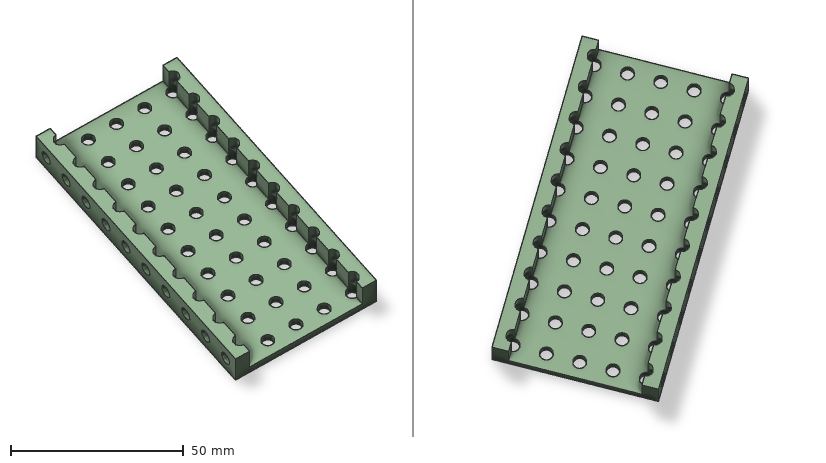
import cadquery as cq

length = 100.0
width = 50.0
height = 10.0
wall_thickness = 5.0
floor_thickness = 2.5

pitch = 10.0
hole_diameter = 4.0
columns = round(length / pitch)
rows = round(width / pitch)


def make_channel():
    """U-shaped channel running along X, open at both ends and at the top."""
    block = cq.Workplane("XY").box(length, width, height, centered=(True, True, False))
    trough = (
        cq.Workplane("XY")
        .workplane(offset=floor_thickness)
        .rect(length, width - 2 * wall_thickness)
        .extrude(height - floor_thickness)
    )
    return block.cut(trough)


def make_vertical_holes():
    """Grid of holes along Z; the outer rows also groove the inner wall faces."""
    return (
        cq.Workplane("XY")
        .rarray(pitch, pitch, columns, rows)
        .circle(hole_diameter / 2)
        .extrude(height)
    )


def make_wall_holes():
    """Row of holes along Y through both walls at mid height."""
    return (
        cq.Workplane("XZ", origin=(0, 0, height / 2))
        .rarray(pitch, pitch, columns, 1)
        .circle(hole_diameter / 2)
        .extrude(width / 2, both=True)
    )


result = make_channel().cut(make_vertical_holes()).cut(make_wall_holes())